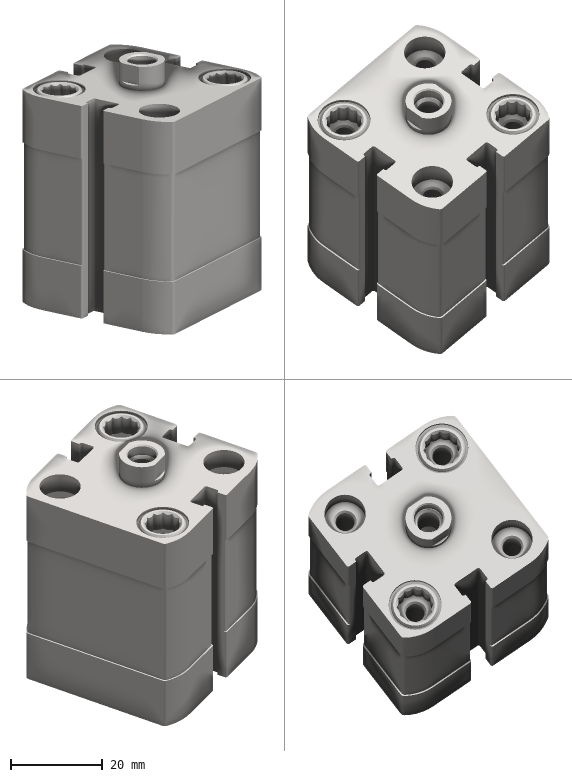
import cadquery as cq
import math

side = 39.5
total_height = 54.5
rod_stickout = 5.5
housing_height = total_height - rod_stickout
cap_height = 12.15
barrel_inset = 0.3
half_side = side / 2
barrel_top = housing_height - cap_height

bolt_spacing = 26.0
bolt_offset = bolt_spacing / 2
corner_radius = 11.0
corner_edge_fillet = 0.9

slot_turns = (0, 90, 180)
slot_mouth_half = 2.65
slot_mouth_round = 0.45
slot_head_width = 6.8
slot_lip = 2.3
slot_depth = 5.7
slot_head_round = 0.5

bolt_bore = 4.15
bolt_chamfer_diameter = 5.0
counterbore_diameter = 9.0
counterbore_depth = 4.6

groove_diameter = 11.5
collar_base_diameter = 10.5
collar_top_diameter = 9.55
groove_depth = 0.65
socket_rim_diameter = 8.5
socket_point_diameter = 8.05
socket_crown_diameter = 7.4
socket_points = 12
socket_crown_half_angle = math.radians(5)

rod_diameter = 10.0
flat_width = 9.0
flat_length = 4.2
flat_end_drop = 0.2
rod_mouth_diameter = 7.0
rod_recess_diameter = 6.4
rod_recess_depth = 2.55
rod_bore_diameter = 4.9
rod_bore_rim_diameter = 6.0
rod_bore_depth = 12.0
drill_point_angle = 120.0
rod_bottom = barrel_top


def cone_depth(large_diameter, small_diameter, included_angle=90.0):
    """Axial length of a cone between two diameters."""
    return (large_diameter - small_diameter) / 2 / math.tan(math.radians(included_angle / 2))


def revolved(half_profile):
    """Solid of revolution about Z from (radius, height) points."""
    return cq.Workplane("XZ").polyline(half_profile).close().revolve(360, (0, 0), (0, 1))


def block(inset, bottom, height):
    """Square block whose front and back faces curve in towards the side faces."""
    half = half_side - inset
    arc_center = half - corner_radius
    reach = half - bolt_offset
    arc_middle_angle = math.asin(reach / corner_radius) / 2
    side_end = arc_center + math.sqrt(corner_radius**2 - reach**2)
    middle_x = bolt_offset + corner_radius * math.sin(arc_middle_angle)
    middle_y = arc_center + corner_radius * math.cos(arc_middle_angle)
    return (
        cq.Workplane("XY", origin=(0, 0, bottom))
        .moveTo(-bolt_offset, -half)
        .lineTo(bolt_offset, -half)
        .threePointArc((middle_x, -middle_y), (half, -side_end))
        .lineTo(half, side_end)
        .threePointArc((middle_x, middle_y), (bolt_offset, half))
        .lineTo(-bolt_offset, half)
        .threePointArc((-middle_x, middle_y), (-half, side_end))
        .lineTo(-half, -side_end)
        .threePointArc((-middle_x, -middle_y), (-bolt_offset, -half))
        .close()
        .extrude(height)
        .edges("|Z and (>X or <X)")
        .fillet(corner_edge_fillet)
    )


def slot_mouth(inset, bottom, height):
    """Cutter for the slot opening on the +Y face, flared so the lips are rounded."""
    face = half_side - inset
    flare_half = slot_mouth_half + slot_mouth_round
    lip_start = face - slot_mouth_round
    floor = half_side - slot_depth
    return (
        cq.Workplane("XY", origin=(0, 0, bottom))
        .moveTo(-slot_mouth_half, floor)
        .lineTo(-slot_mouth_half, lip_start)
        .radiusArc((-flare_half, face), -slot_mouth_round)
        .lineTo(flare_half, face)
        .radiusArc((slot_mouth_half, lip_start), -slot_mouth_round)
        .lineTo(slot_mouth_half, floor)
        .close()
        .extrude(height)
    )


def slot_head():
    """Cutter for the wide inner part of the slot on the +Y face."""
    length = slot_depth - slot_lip
    head_center = half_side - slot_lip - length / 2
    return (
        cq.Workplane("XY", origin=(0, head_center, 0))
        .rect(slot_head_width, length)
        .extrude(housing_height)
        .edges("|Z")
        .fillet(slot_head_round)
    )


def slotted_section(inset, bottom, height):
    """One height band of the housing with the slot openings cut through it."""
    section = block(inset, bottom, height)
    for turn in slot_turns:
        mouth = slot_mouth(inset, bottom, height)
        section = section.cut(mouth.rotate((0, 0, 0), (0, 0, 1), turn))
    return section


def bolt_bore_cutter():
    """Through bore with a countersunk edge at the counterbore floor."""
    floor = housing_height - counterbore_depth
    chamfer_depth = cone_depth(bolt_chamfer_diameter, bolt_bore)
    return revolved(
        [
            (0, 0),
            (bolt_bore / 2, 0),
            (bolt_bore / 2, floor - chamfer_depth),
            (bolt_chamfer_diameter / 2, floor),
            (0, floor),
        ]
    )


def counterbore_cutter():
    floor = housing_height - counterbore_depth
    return (
        cq.Workplane("XY", origin=(0, 0, floor))
        .circle(counterbore_diameter / 2)
        .extrude(counterbore_depth)
    )


def collar_groove_cutter():
    """Ring groove whose inner wall is the bevel of the collar."""
    floor = housing_height - groove_depth
    return revolved(
        [
            (collar_base_diameter / 2, floor),
            (groove_diameter / 2, floor),
            (groove_diameter / 2, housing_height),
            (collar_top_diameter / 2, housing_height),
        ]
    )


def socket_cutter():
    """Twelve-point socket with narrow flat crowns and a countersunk rim."""
    rim_bottom = housing_height - cone_depth(socket_rim_diameter, socket_crown_diameter)
    point_radius = socket_point_diameter / 2
    crown_radius = socket_crown_diameter / 2
    pitch = 2 * math.pi / socket_points
    star = []
    for step in range(socket_points):
        point_angle = step * pitch
        crown_angle = point_angle + pitch / 2
        corners = [
            (point_radius, point_angle),
            (crown_radius, crown_angle - socket_crown_half_angle),
            (crown_radius, crown_angle + socket_crown_half_angle),
        ]
        for radius, angle in corners:
            star.append((radius * math.cos(angle), radius * math.sin(angle)))
    socket = (
        cq.Workplane("XY", origin=(0, 0, housing_height - counterbore_depth))
        .polyline(star)
        .close()
        .extrude(counterbore_depth)
    )
    rim = revolved(
        [
            (0, rim_bottom),
            (socket_crown_diameter / 2, rim_bottom),
            (socket_rim_diameter / 2, housing_height),
            (0, housing_height),
        ]
    )
    return socket.union(rim)


def make_housing():
    housing = slotted_section(0, 0, cap_height)
    housing = housing.union(slotted_section(barrel_inset, cap_height, barrel_top - cap_height))
    housing = housing.union(slotted_section(0, barrel_top, cap_height))

    for turn in slot_turns:
        housing = housing.cut(slot_head().rotate((0, 0, 0), (0, 0, 1), turn))

    for x_sign in (-1, 1):
        for y_sign in (-1, 1):
            position = (x_sign * bolt_offset, y_sign * bolt_offset, 0)
            cutters = [bolt_bore_cutter()]
            if x_sign == y_sign:
                cutters += [collar_groove_cutter(), socket_cutter()]
            else:
                cutters += [counterbore_cutter()]
            for cutter in cutters:
                housing = housing.cut(cutter.translate(position))

    rod_hole = (
        cq.Workplane("XY", origin=(0, 0, rod_bottom))
        .circle(rod_diameter / 2)
        .extrude(housing_height - rod_bottom)
    )
    return housing.cut(rod_hole)


def rod_bore_cutter():
    """Chamfered recess with a countersunk bore in its floor, ending in a drill point."""
    mouth_bottom = total_height - cone_depth(rod_mouth_diameter, rod_recess_diameter)
    recess_bottom = total_height - rod_recess_depth
    bore_top = recess_bottom - cone_depth(rod_bore_rim_diameter, rod_bore_diameter)
    bore_bottom = total_height - rod_bore_depth
    tip = bore_bottom - cone_depth(rod_bore_diameter, 0, drill_point_angle)
    return revolved(
        [
            (0, tip),
            (rod_bore_diameter / 2, bore_bottom),
            (rod_bore_diameter / 2, bore_top),
            (rod_bore_rim_diameter / 2, recess_bottom),
            (rod_recess_diameter / 2, recess_bottom),
            (rod_recess_diameter / 2, mouth_bottom),
            (rod_mouth_diameter / 2, total_height),
            (0, total_height),
        ]
    )


def flat_cutter():
    """Wrench flat on the +Y side, ending in a ledge that slopes down outwards."""
    ledge = total_height - flat_length
    return (
        cq.Workplane("YZ")
        .polyline(
            [
                (flat_width / 2, total_height),
                (flat_width / 2, ledge),
                (rod_diameter / 2, ledge - flat_end_drop),
                (rod_diameter / 2, total_height),
            ]
        )
        .close()
        .extrude(rod_diameter / 2, both=True)
    )


def make_rod():
    rod = (
        cq.Workplane("XY", origin=(0, 0, rod_bottom))
        .circle(rod_diameter / 2)
        .extrude(total_height - rod_bottom)
        .cut(rod_bore_cutter())
    )
    for turn in (0, 180):
        rod = rod.cut(flat_cutter().rotate((0, 0, 0), (0, 0, 1), turn))
    return rod


housing = make_housing()
rod = make_rod()
result = cq.Compound.makeCompound([housing.val(), rod.val()])